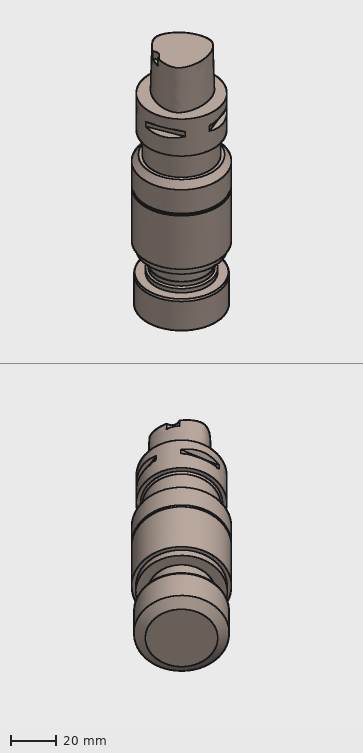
import cadquery as cq
import math

nut_chamfer_top = 3.4
nut_edge_start = 19.1
nut_top = 20.2
collar_top = 22.5
neck_bottom = 23.0
lower_neck_step = 25.5
ring_bottom = 33.3
body_bottom = 37.3
groove_bottom = 66.1
groove_top = 67.3
body_chamfer_start = 80.1
body_top = 83.5
flare_start = 95.7
flange_bottom = 96.9
flange_top = 116.8
overall_height = 140.6

nut_diameter = 42.0
nut_edge_inset = 0.4
collar_diameter = 31.9
groove_neck_diameter = 29.5
lower_neck_diameter = 30.0
ring_diameter = 40.4
body_diameter = 44.0
body_groove_depth = 0.7
body_top_diameter = 38.0
upper_neck_diameter = 34.6
flare_diameter = 36.1
flange_diameter = 40.0

shank_base_diameter = 28.3
shank_base_radius = shank_base_diameter / 2
shank_taper_inset = 0.63
lobe_height = 1.0
lobe_count = 3
outline_steps = 36

slot_count = 4
slot_first_angle = 45
slot_middle_height = 108.7
slot_floor_distance = 17.6
slot_floor_width = 2.5
slot_mouth_width = 5.0

notch_radius = 3.5
notch_center_y = -14.2
notch_depth = 4.0


def turned_body():
    """Revolve the stepped half profile about the Z axis."""
    body_radius = body_diameter / 2
    groove_radius = body_radius - body_groove_depth
    profile = [
        (0, 0),
        (collar_diameter / 2, 0),
        (nut_diameter / 2, nut_chamfer_top),
        (nut_diameter / 2, nut_edge_start),
        (nut_diameter / 2 - nut_edge_inset, nut_top),
        (collar_diameter / 2, nut_top),
        (collar_diameter / 2, collar_top),
        (groove_neck_diameter / 2, neck_bottom),
        (groove_neck_diameter / 2, lower_neck_step),
        (lower_neck_diameter / 2, lower_neck_step),
        (lower_neck_diameter / 2, ring_bottom),
        (ring_diameter / 2, ring_bottom),
        (ring_diameter / 2, body_bottom),
        (body_radius, body_bottom),
        (body_radius, groove_bottom),
        (groove_radius, groove_bottom),
        (body_radius, groove_top),
        (body_radius, body_chamfer_start),
        (body_top_diameter / 2, body_top),
        (upper_neck_diameter / 2, body_top),
        (upper_neck_diameter / 2, flare_start),
        (flare_diameter / 2, flange_bottom),
        (flange_diameter / 2, flange_bottom),
        (flange_diameter / 2, flange_top),
        (0, flange_top),
    ]
    return cq.Workplane("XZ").polyline(profile).close().revolve(360, (0, 0), (0, 1))


def lobed_points(mean_radius):
    """Return points on the envelope of lines at mean_radius + lobe_height * cos(3a), one lobe at +Y."""
    points = []
    for step in range(outline_steps):
        angle = 2 * math.pi * step / outline_steps
        distance = mean_radius + lobe_height * math.cos(lobe_count * angle)
        slope = -lobe_count * lobe_height * math.sin(lobe_count * angle)
        along = distance * math.cos(angle) - slope * math.sin(angle)
        across = distance * math.sin(angle) + slope * math.cos(angle)
        points.append((-across, along))
    return points


def shank():
    """Loft the tapered three-lobed shank and cut the notch in its tip."""
    tip_radius = shank_base_radius - shank_taper_inset
    solid = (
        cq.Workplane("XY", origin=(0, 0, flange_top))
        .spline(lobed_points(shank_base_radius), periodic=True)
        .wire()
        .workplane(offset=overall_height - flange_top)
        .spline(lobed_points(tip_radius), periodic=True)
        .wire()
        .loft()
    )
    notch = (
        cq.Workplane("XY", origin=(0, notch_center_y, overall_height - notch_depth))
        .circle(notch_radius)
        .extrude(notch_depth)
    )
    return solid.cut(notch)


def gripper_slot(angle):
    """Return a straight cutter whose mouth widens outwards, turned to the given angle."""
    mouth_distance = flange_diameter / 2
    half_floor = slot_floor_width / 2
    half_mouth = slot_mouth_width / 2
    section = [
        (slot_floor_distance, slot_middle_height - half_floor),
        (mouth_distance, slot_middle_height - half_mouth),
        (mouth_distance, slot_middle_height + half_mouth),
        (slot_floor_distance, slot_middle_height + half_floor),
    ]
    cutter = cq.Workplane("XZ").polyline(section).close().extrude(flange_diameter / 2, both=True)
    return cutter.rotate((0, 0, 0), (0, 0, 1), angle)


result = turned_body()
for index in range(slot_count):
    result = result.cut(gripper_slot(slot_first_angle + index * 360 / slot_count))
result = result.union(shank())